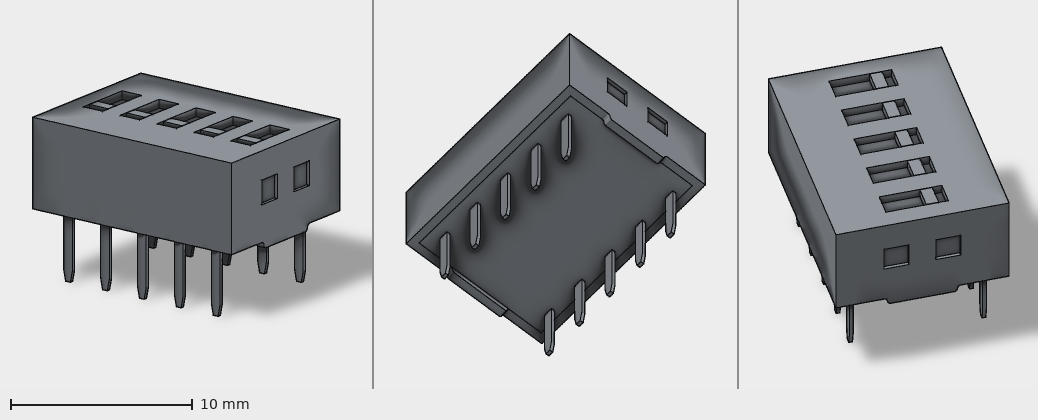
import cadquery as cq

housing_length = 13.7
housing_width = 9.9
housing_height = 5.3
wall = 0.51

switch_count = 5
switch_span = 10.17
pitch = switch_span / (switch_count - 1)
switch_xs = [i * pitch - switch_span / 2 for i in range(switch_count)]

slot_width = 1.34
slot_length = 3.58
slider_width = 1.29
slider_length = 0.71
slider_end_gap = 0.55
slider_y = -slot_length / 2 + slider_end_gap + slider_length / 2

foot_height = 0.4
foot_half_width = 2.0
foot_arc_radius = foot_height / 2

recess_size = 1.42
recess_spacing = 2.96
recess_depth = 0.2
recess_top_gap = 1.7
recess_z = housing_height - recess_top_gap - recess_size / 2

pin_row_spacing = 7.62
pin_row_shift = 0.15
pin_row_ys = [side * pin_row_spacing / 2 - pin_row_shift for side in (-1, 1)]
pin_width = 0.6
pin_thickness = 0.22
pin_length = 4.1
pin_tip_width = 0.33
pin_tip_length = 0.68

cavity_length = housing_length - 2 * wall
cavity_width = housing_width - 2 * wall
cavity_height = housing_height - wall


def block(length, width, height):
    """Box centred in X and Y, standing on Z = 0."""
    return cq.Workplane("XY").box(length, width, height, centered=(True, True, False))


def make_foot():
    """Foot below an end wall, one wall thick, starting at X = 0."""
    r = foot_arc_radius
    bottom_half = foot_half_width - r
    top_half = foot_half_width + r
    return (
        cq.Workplane("YZ")
        .moveTo(-top_half, 0)
        .radiusArc((-foot_half_width, -r), r)
        .radiusArc((-bottom_half, -foot_height), -r)
        .lineTo(bottom_half, -foot_height)
        .radiusArc((foot_half_width, -r), -r)
        .radiusArc((top_half, 0), r)
        .close()
        .extrude(wall)
    )


def make_housing():
    """Shell open at the bottom, with slots, end recesses and two feet."""
    shell = block(housing_length, housing_width, housing_height)
    shell = shell.cut(block(cavity_length, cavity_width, cavity_height))

    slot = block(slot_width, slot_length, wall)
    for x in switch_xs:
        shell = shell.cut(slot.translate((x, 0, cavity_height)))

    recess = cq.Workplane("XY").box(2 * recess_depth, recess_size, recess_size)
    for x in (-housing_length / 2, housing_length / 2):
        for y in (-recess_spacing / 2, recess_spacing / 2):
            shell = shell.cut(recess.translate((x, y, recess_z)))

    foot = make_foot()
    for x in (-housing_length / 2, cavity_length / 2):
        shell = shell.union(foot.translate((x, 0, 0)))
    return shell


def make_pin():
    """Flat pin hanging down from Z = 0, centred in X and Y, tapered in width at its tip."""
    shoulder_z = pin_tip_length - pin_length
    return (
        cq.Workplane("XZ")
        .moveTo(-pin_width / 2, 0)
        .lineTo(pin_width / 2, 0)
        .lineTo(pin_width / 2, shoulder_z)
        .lineTo(pin_tip_width / 2, -pin_length)
        .lineTo(-pin_tip_width / 2, -pin_length)
        .lineTo(-pin_width / 2, shoulder_z)
        .close()
        .extrude(pin_thickness / 2, both=True)
    )


def make_base():
    """Block filling the housing, carrying both rows of pins."""
    base = block(cavity_length, cavity_width, cavity_height)
    pin = make_pin()
    for x in switch_xs:
        for y in pin_row_ys:
            base = base.union(pin.translate((x, y, 0)))
    return base


def make_slider(x):
    """Slider standing on the base in the slot at x, flush with the top face."""
    return block(slider_width, slider_length, wall).translate((x, slider_y, cavity_height))


housing = make_housing()
base = make_base()
sliders = [make_slider(x) for x in switch_xs]

result = cq.Compound.makeCompound([housing.val(), base.val(), *[s.val() for s in sliders]])